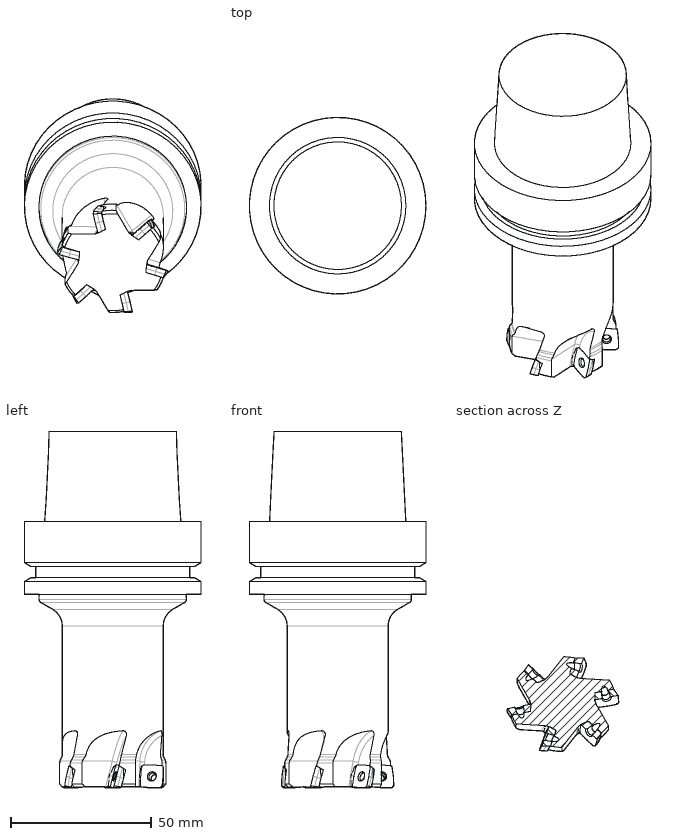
import cadquery as cq
import math

TOTAL_HEIGHT = 126.9
EDGE_TOLERANCE = 0.01

TAPER_TOP_DIAMETER = 45.4
TAPER_BASE_DIAMETER = 48.6
TAPER_LENGTH = 32.0
FLANGE_DIAMETER = 63.0
FLANGE_LENGTH = 26.0
GROOVE_DIAMETER = 55.0
GROOVE_LIP_DIAMETER = 58.4
GROOVE_TOP_DROP = 16.1
GROOVE_WIDTH = 3.9
GROOVE_CHAMFER_HEIGHT = 1.4

COLLAR_DIAMETER = 52.5
COLLAR_LENGTH = 2.5
COLLAR_ROUND = 1.3
NECK_CONE_ANGLE = 30.0
NECK_FILLET = 6.7
SHANK_DIAMETER = 36.0

BODY_BOTTOM = 0.4
HEAD_DIAMETER = 38.1
HEAD_TOP = 9.4
HEAD_SHOULDER_TOP = 11.4
HEAD_ROUND = 2.4
HEAD_FILLET = 1.6
HEAD_CHAMFER = 1.0

TOOTH_COUNT = 6
CUTTING_RADIUS = 20.0
TIP_LAG = 0.3
RADIAL_RAKE = 9.0
AXIAL_RAKE = 15.0
INSERT_SIZE = 8.5
INSERT_THICKNESS = 2.8
INSERT_EDGE_THICKNESS = 1.4
INSERT_RELIEF = 15.0
INSERT_BASE_RELIEF = 18.0
INSERT_EDGE_DROP = 0.4
TIP_CHAMFER = 0.8
SCREW_MOUTH_DIAMETER = 3.4
SCREW_HOLE_DIAMETER = 2.8
SCREW_THREAD_DIAMETER = 2.5
COUNTERSINK_DEPTH = 0.6
SCREW_THREAD_DEPTH = 3.8

FLUTE_INNER_RADIAL = 11.5
FLUTE_INNER_LEAD = 0.9
FLUTE_FLOOR_ANGLE = 22.0
FLUTE_TOP = 21.2
FLUTE_RUNOUT_RADIUS = 11.7
FLUTE_FILLET = 1.3
FLUTE_REACH = 38.1

taper_base_z = TOTAL_HEIGHT - TAPER_LENGTH
flange_bottom_z = taper_base_z - FLANGE_LENGTH


def holder_blank():
    """Turned shape of the holder and the head, before milling."""
    groove_top = taper_base_z - GROOVE_TOP_DROP
    groove_bottom = groove_top - GROOVE_WIDTH
    collar_bottom = flange_bottom_z - COLLAR_LENGTH
    cone_drop = (COLLAR_DIAMETER - SHANK_DIAMETER) / 2 * math.tan(math.radians(NECK_CONE_ANGLE))
    neck_bottom = collar_bottom - cone_drop
    flange_radius = FLANGE_DIAMETER / 2
    head_radius = HEAD_DIAMETER / 2
    shank_radius = SHANK_DIAMETER / 2

    profile = [
        (0, BODY_BOTTOM),
        (head_radius - HEAD_CHAMFER, BODY_BOTTOM),
        (head_radius, BODY_BOTTOM + HEAD_CHAMFER),
        (head_radius, HEAD_TOP),
        (shank_radius, HEAD_SHOULDER_TOP),
        (shank_radius, neck_bottom),
        (COLLAR_DIAMETER / 2, collar_bottom),
        (COLLAR_DIAMETER / 2, flange_bottom_z),
        (flange_radius, flange_bottom_z),
        (flange_radius, groove_bottom - GROOVE_CHAMFER_HEIGHT),
        (GROOVE_LIP_DIAMETER / 2, groove_bottom),
        (GROOVE_DIAMETER / 2, groove_bottom),
        (GROOVE_DIAMETER / 2, groove_top),
        (GROOVE_LIP_DIAMETER / 2, groove_top),
        (flange_radius, groove_top + GROOVE_CHAMFER_HEIGHT),
        (flange_radius, taper_base_z),
        (TAPER_BASE_DIAMETER / 2, taper_base_z),
        (TAPER_TOP_DIAMETER / 2, TOTAL_HEIGHT),
        (0, TOTAL_HEIGHT),
    ]
    blank = cq.Workplane("XZ").polyline(profile).close().revolve(360, (0, 0, 0), (0, 1, 0))

    def ring(z):
        """Select the round edge at height z."""
        reach = FLANGE_DIAMETER
        return cq.selectors.BoxSelector(
            (-reach, -reach, z - EDGE_TOLERANCE), (reach, reach, z + EDGE_TOLERANCE)
        )

    blank = blank.edges(ring(neck_bottom)).fillet(NECK_FILLET)
    blank = blank.edges(ring(collar_bottom)).fillet(COLLAR_ROUND)
    blank = blank.edges(ring(HEAD_SHOULDER_TOP)).fillet(HEAD_FILLET)
    return blank.edges(ring(HEAD_TOP)).fillet(HEAD_ROUND)


def rake_plane():
    """Rake face of the tooth on +X: origin at the tip, local X outward, local Y up the face."""
    radial = math.radians(RADIAL_RAKE)
    axial = math.radians(AXIAL_RAKE)
    normal = (
        math.sin(radial) * math.cos(axial),
        -math.cos(radial) * math.cos(axial),
        math.sin(axial),
    )
    return cq.Plane(
        origin=(CUTTING_RADIUS, TIP_LAG, 0),
        xDir=(math.cos(radial), math.sin(radial), 0),
        normal=normal,
    )


def insert_outline(depth=0, setback=0):
    """Square with its working corner at the tip; half of each side is set back slightly."""
    size = INSERT_SIZE
    half = size / 2
    drop = INSERT_EDGE_DROP
    outline = (
        cq.Workplane(rake_plane())
        .workplane(offset=-depth)
        .polyline([
            (-TIP_CHAMFER, 0),
            (0, TIP_CHAMFER),
            (0, half),
            (-drop, size - drop),
            (-half, size),
            (TIP_CHAMFER - size, size),
            (-size, size - TIP_CHAMFER),
            (-size, half),
            (drop - size, drop),
            (-half, 0),
        ])
        .close()
    )
    return outline.offset2D(-setback, "intersection") if setback else outline


def insert_blank():
    """Insert without its hole: flanks relieved in two steps."""
    edge_setback = INSERT_EDGE_THICKNESS * math.tan(math.radians(INSERT_RELIEF))
    base_thickness = INSERT_THICKNESS - INSERT_EDGE_THICKNESS
    base_setback = edge_setback + base_thickness * math.tan(math.radians(INSERT_BASE_RELIEF))
    sections = [
        insert_outline().val(),
        insert_outline(INSERT_EDGE_THICKNESS, edge_setback).val(),
        insert_outline(INSERT_THICKNESS, base_setback).val(),
    ]
    return cq.Workplane(cq.Solid.makeLoft(sections, True))


def screw_plane(depth):
    """Plane of the rake face moved to the insert centre and sunk by depth."""
    half = INSERT_SIZE / 2
    plane = rake_plane()
    plane.origin = plane.toWorldCoords((-half, half, -depth))
    return plane


def screw_profile_plane():
    """Plane through the screw axis: local X along the rake face, local Y out of it."""
    face = screw_plane(0)
    return cq.Plane(origin=face.origin, xDir=face.xDir, normal=-face.yDir)


def insert():
    """Insert with a countersunk screw hole through its centre."""
    mouth_radius = SCREW_MOUTH_DIAMETER / 2
    hole_radius = SCREW_HOLE_DIAMETER / 2
    hole = (
        cq.Workplane(screw_profile_plane())
        .polyline([
            (0, 0),
            (mouth_radius, 0),
            (hole_radius, -COUNTERSINK_DEPTH),
            (hole_radius, -INSERT_THICKNESS),
            (0, -INSERT_THICKNESS),
        ])
        .close()
        .revolve(360, (0, 0, 0), (0, 1, 0))
    )
    return insert_blank().cut(hole)


def flute_cutter():
    """Flat floor with a rounded run-out at the top, ending at the rake plane."""
    angle = math.radians(FLUTE_FLOOR_ANGLE)
    floor_outward = (math.cos(angle), math.sin(angle), 0)
    floor_along = (math.sin(angle), -math.cos(angle), 0)
    runout = FLUTE_RUNOUT_RADIUS
    side = cq.Plane(
        origin=(FLUTE_INNER_RADIAL, -FLUTE_INNER_LEAD, 0),
        xDir=floor_outward,
        normal=floor_along,
    )
    sweep = (
        cq.Workplane(side)
        .moveTo(0, -FLUTE_REACH)
        .lineTo(0, FLUTE_TOP - runout)
        .radiusArc((runout, FLUTE_TOP), runout)
        .lineTo(FLUTE_REACH, FLUTE_TOP)
        .lineTo(FLUTE_REACH, -FLUTE_REACH)
        .close()
        .extrude(FLUTE_REACH, both=True)
    )
    ahead = (
        cq.Workplane(rake_plane())
        .rect(4 * FLUTE_REACH, 4 * FLUTE_REACH)
        .extrude(2 * FLUTE_REACH)
    )
    cutter = sweep.intersect(ahead)
    wall = cutter.faces(cq.selectors.DirectionMinMaxSelector(rake_plane().zDir, False))
    head_radius = HEAD_DIAMETER / 2
    inside_head = cq.selectors.BoxSelector(
        (0, -head_radius, -head_radius), (head_radius, head_radius, head_radius)
    )
    root_edges = wall.edges(inside_head).vals()
    return cutter.newObject(root_edges).fillet(FLUTE_FILLET)


def tooth_cuts():
    """Cuts for one tooth: flute, insert pocket, its clearance in front, and screw hole."""
    screw_hole = (
        cq.Workplane(screw_plane(INSERT_THICKNESS))
        .circle(SCREW_THREAD_DIAMETER / 2)
        .extrude(-SCREW_THREAD_DEPTH)
    )
    clearance = insert_outline().extrude(FLUTE_FILLET)
    return [flute_cutter(), clearance, insert_blank(), screw_hole]


def around(shape, i):
    """Copy of a shape from the tooth on +X, turned to tooth i."""
    return shape.rotate((0, 0, 0), (0, 0, 1), i * 360 / TOOTH_COUNT)


def cutter_body():
    """Holder and head in one piece, milled for every tooth."""
    body = holder_blank()
    cuts = tooth_cuts()
    for i in range(TOOTH_COUNT):
        for cut in cuts:
            body = body.cut(around(cut, i))
    return body


holder = cutter_body()
one_insert = insert()
inserts = [around(one_insert, i) for i in range(TOOTH_COUNT)]

result = cq.Compound.makeCompound([holder.solids().val(), *[tip.solids().val() for tip in inserts]])